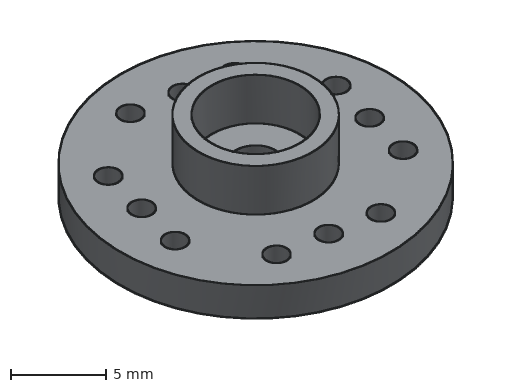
import cadquery as cq

flange_diameter = 20.75
flange_thickness = 2.25
total_height = 5.5
hub_diameter = 8.75
recess_diameter = 6.75
shaft_hole_diameter = 3.0
mount_hole_diameter = 1.5
mount_row_offset = 7.12
mount_hole_pitch = 3.25

hub_height = total_height - flange_thickness


def make_body():
    """Round flange with a cup-shaped hub whose floor is the flange top."""
    flange = cq.Workplane("XY").circle(flange_diameter / 2).extrude(flange_thickness)
    return (
        flange.faces(">Z")
        .workplane()
        .circle(hub_diameter / 2)
        .circle(recess_diameter / 2)
        .extrude(hub_height)
    )


def through_holes(points, diameter):
    """Cylinders that cut through the flange at the given points."""
    return cq.Workplane("XY").pushPoints(points).circle(diameter / 2).extrude(flange_thickness)


def mount_hole_points():
    """Four straight rows of three holes, one row on each side of the axis."""
    points = []
    for side in (-mount_row_offset, mount_row_offset):
        for along in (-mount_hole_pitch, 0, mount_hole_pitch):
            points.append((side, along))
            points.append((along, side))
    return points


shaft_hole = through_holes([(0, 0)], shaft_hole_diameter)
mount_holes = through_holes(mount_hole_points(), mount_hole_diameter)
result = make_body().cut(shaft_hole).cut(mount_holes)